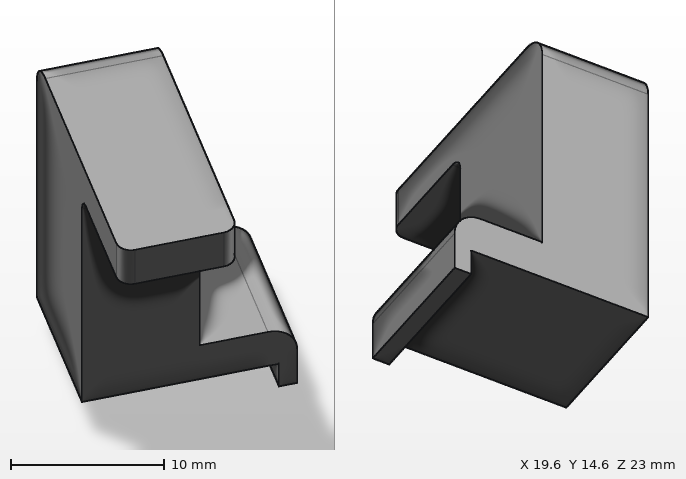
import cadquery as cq

total_length = 19.6
total_depth = 14.6
total_height = 23.0

column_width = 10.6
column_depth = 8.0
plate_thickness = 3.0
lip_drop = 2.0
lip_thickness = 1.25

outer_radius = 2.0
small_radius = 1.0

arm_underside = total_height - plate_thickness
foot_top = lip_drop + plate_thickness


def make_column_with_arm():
    """Inverted L in the XZ plane, extruded along Y, with rounded corners."""
    body = (
        cq.Workplane("XZ")
        .moveTo(0, lip_drop)
        .lineTo(column_width, lip_drop)
        .lineTo(column_width, arm_underside - small_radius)
        .radiusArc((column_width + small_radius, arm_underside), small_radius)
        .lineTo(total_length, arm_underside)
        .lineTo(total_length, total_height)
        .lineTo(outer_radius, total_height)
        .radiusArc((0, total_height - outer_radius), -outer_radius)
        .close()
        .extrude(-column_depth)
    )
    return body.faces(">X").edges("|Z").fillet(small_radius)


def make_foot_with_lip():
    """Foot plate in the YZ plane that ends in a downward lip, as wide as the column."""
    return (
        cq.Workplane("YZ")
        .moveTo(0, lip_drop)
        .lineTo(total_depth - lip_thickness, lip_drop)
        .lineTo(total_depth - lip_thickness, 0)
        .lineTo(total_depth, 0)
        .lineTo(total_depth, foot_top - outer_radius)
        .radiusArc((total_depth - outer_radius, foot_top), -outer_radius)
        .lineTo(0, foot_top)
        .close()
        .extrude(column_width)
    )


result = make_column_with_arm().union(make_foot_with_lip())